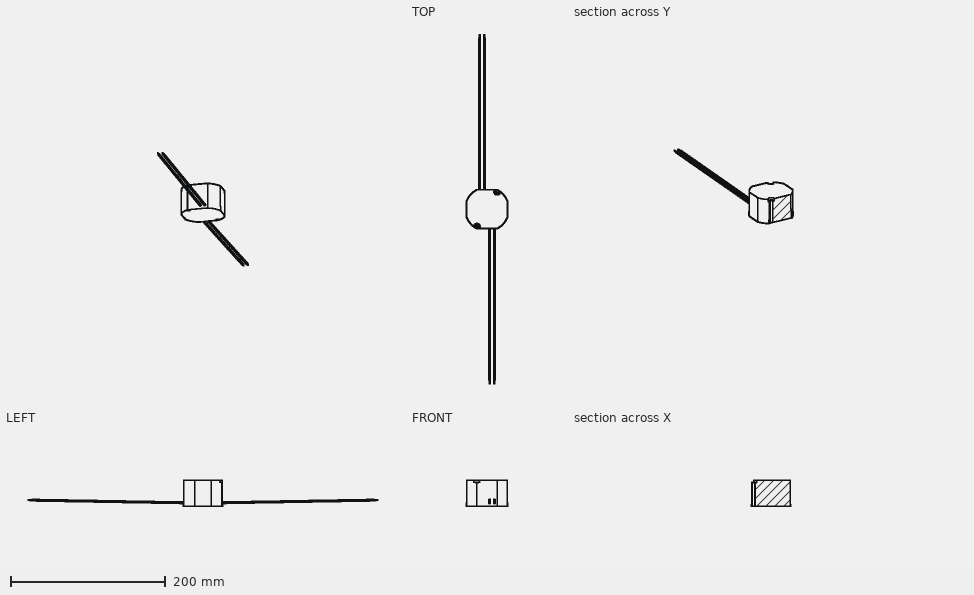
import cadquery as cq
import math

HEIGHT = 34.0
BASE_DIAMETER = 57.0
BASE_LENGTH_X = 53.02
BASE_WIDTH_Y = 50.4
DRAFT_ANGLE = 0.5

SCREW_X = 13.0
SCREW_Y = 22.4
SCREW_HOLE_DIAMETER = 3.2
SCREW_HEAD_DIAMETER = 8.0
SCREW_HEAD_DEPTH = 3.2

WIRE_X_POSITIONS = (3.5, 9.5)
WIRE_CENTRE_Z = 4.15
WIRE_RISE_ANGLE = 1.0
WIRE_DIAMETER = 2.0
CORE_DIAMETER = 1.0
CORE_END_Y = 225.52
BARE_LENGTH = 5.0


def make_housing():
    round_block = cq.Workplane("XY").circle(BASE_DIAMETER / 2).extrude(HEIGHT, taper=DRAFT_ANGLE)
    flat_sides = cq.Workplane("XY").rect(BASE_LENGTH_X, BASE_WIDTH_Y).extrude(HEIGHT, taper=DRAFT_ANGLE)
    return round_block.intersect(flat_sides)


def make_screw_hole():
    """Through hole and head recess for the screw at the -X, -Y corner."""
    top = cq.Workplane("XY", origin=(-SCREW_X, -SCREW_Y, HEIGHT))
    hole = top.circle(SCREW_HOLE_DIAMETER / 2).extrude(-HEIGHT)
    head_recess = top.circle(SCREW_HEAD_DIAMETER / 2).extrude(-SCREW_HEAD_DEPTH)
    return hole.union(head_recess)


def make_wire(x):
    """A wire from the middle of the housing, leaving through the -Y wall, with a bare core at the free end."""
    rise = math.radians(WIRE_RISE_ANGLE)
    core_tip_reach = CORE_DIAMETER / 2 * math.sin(rise)
    length = (CORE_END_Y - core_tip_reach) / math.cos(rise)
    start_plane = cq.Plane(
        origin=(x, 0, WIRE_CENTRE_Z),
        xDir=(1, 0, 0),
        normal=(0, -math.cos(rise), math.sin(rise)),
    )
    core = cq.Workplane(start_plane).circle(CORE_DIAMETER / 2).extrude(length)
    insulation = cq.Workplane(start_plane).circle(WIRE_DIAMETER / 2).extrude(length - BARE_LENGTH)
    return insulation.union(core)


def half_turn(shape):
    """The same shape at the opposite side of the housing."""
    return shape.rotate((0, 0, 0), (0, 0, 1), 180)


result = make_housing()

screw_hole = make_screw_hole()
for hole in (screw_hole, half_turn(screw_hole)):
    result = result.cut(hole)

for wire_x in WIRE_X_POSITIONS:
    wire = make_wire(wire_x)
    result = result.union(wire).union(half_turn(wire))